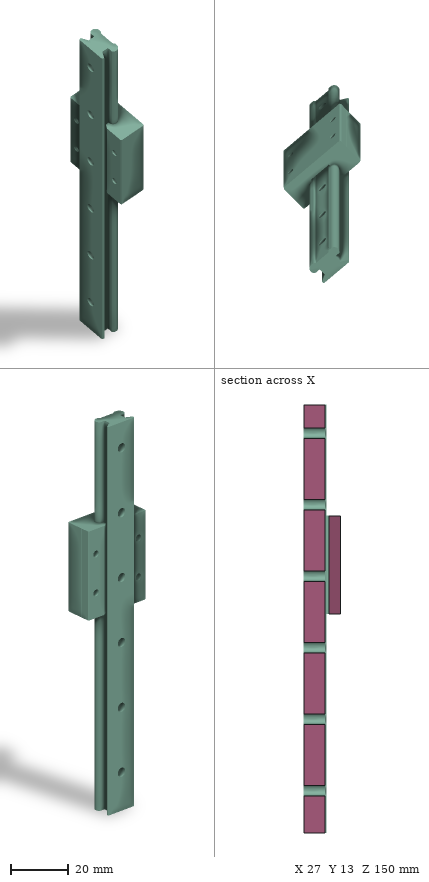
import cadquery as cq

rail_length = 150.0
overall_depth = 13.0
rail_front = -overall_depth / 2
base_half_width = 6.2
base_lip = 0.9
base_chamfer = 0.3
neck_half_width = 3.6
neck_bottom = -4.4
head_radius = 1.8
head_y = -0.2
bead_centre_x = 4.6
head_underside = -1.6
head_back = head_y + head_radius
relief_half_width = 3.6
relief_depth = 0.6
rail_hole_diameter = 3.5
rail_hole_count = 6
rail_hole_pitch = 25.0
rail_hole_top = 65.1

carriage_width = 27.0
carriage_depth = 10.8
carriage_length = 34.4
carriage_z = 18.9
carriage_back = overall_depth / 2
carriage_front = carriage_back - carriage_depth
back_chamfer_x = 0.3
back_chamfer_y = 0.6
front_chamfer_x = 0.5
front_chamfer_y = 0.3
mouth_half_width = 4.4
mouth_flare_half_width = 6.2
mouth_flare_start = -3.3
mount_hole_diameter = 2.5
mount_hole_spacing_x = 20.0
mount_hole_spacing_z = 15.0

groove_width = 0.2
groove_depth = 0.2
side_groove_ys = (3.2, -0.5)
front_groove_x = -mount_hole_spacing_x / 2

liner_thickness = 0.68
channel_radius = head_radius + liner_thickness


def extrude_centred(sketch, length, z_centre):
    """Extrude a closed XY outline along Z about a middle height."""
    return sketch.extrude(length).translate((0, 0, z_centre - length / 2))


def stadium(radius, length, z_centre):
    """Bar with round ends centred on the two beads of the rail head."""
    outline = cq.Workplane("XY").center(0, head_y).slot2D(2 * (bead_centre_x + radius), 2 * radius)
    return extrude_centred(outline, length, z_centre)


def box(x_min, x_max, y_min, y_max, length, z_centre):
    """Box given by its X and Y limits and its length along Z."""
    outline = (
        cq.Workplane("XY")
        .center((x_min + x_max) / 2, (y_min + y_max) / 2)
        .rect(x_max - x_min, y_max - y_min)
    )
    return extrude_centred(outline, length, z_centre)


def holes_along_y(points, diameter):
    """Cylinders along Y, long enough to pass through any body."""
    return (
        cq.Workplane("XZ", origin=(0, overall_depth, 0))
        .pushPoints(points)
        .circle(diameter / 2)
        .extrude(2 * overall_depth)
    )


def make_rail():
    """Rail with a flared base, a neck and a round-edged head."""
    right_side = [
        (base_half_width - base_chamfer, rail_front),
        (base_half_width, rail_front + base_chamfer),
        (base_half_width, rail_front + base_lip),
        (neck_half_width, neck_bottom),
        (neck_half_width, 0),
    ]
    left_side = [(-x, y) for x, y in reversed(right_side)]
    foot = cq.Workplane("XY").polyline(right_side + left_side).close()
    foot_bar = extrude_centred(foot, rail_length, 0)

    head_half_width = bead_centre_x + head_radius
    head_limits = box(-head_half_width, head_half_width, head_underside, head_back, rail_length, 0)
    head = stadium(head_radius, rail_length, 0).intersect(head_limits)
    rail = foot_bar.union(head)

    relief_floor = relief_half_width - relief_depth
    relief = (
        cq.Workplane("XY")
        .moveTo(-relief_half_width, head_back)
        .lineTo(-relief_floor, head_back - relief_depth)
        .lineTo(relief_floor, head_back - relief_depth)
        .lineTo(relief_half_width, head_back)
        .close()
    )
    rail = rail.cut(extrude_centred(relief, rail_length, 0))

    hole_points = [(0, rail_hole_top - i * rail_hole_pitch) for i in range(rail_hole_count)]
    return rail.cut(holes_along_y(hole_points, rail_hole_diameter))


def groove_cutter(x, y, across_x, across_y):
    """Diamond bar that leaves a V-groove where it meets a face."""
    outline = cq.Workplane("XY").polyline(
        [(x - across_x, y), (x, y - across_y), (x + across_x, y), (x, y + across_y)]
    ).close()
    return extrude_centred(outline, carriage_length, carriage_z)


def make_carriage():
    """Block with a round-ended channel that opens to the front."""
    half_width = carriage_width / 2
    right_side = [
        (half_width - front_chamfer_x, carriage_front),
        (half_width, carriage_front + front_chamfer_y),
        (half_width, carriage_back - back_chamfer_y),
        (half_width - back_chamfer_x, carriage_back),
    ]
    left_side = [(-x, y) for x, y in reversed(right_side)]
    outline = cq.Workplane("XY").polyline(right_side + left_side).close()
    block = extrude_centred(outline, carriage_length, carriage_z)

    mouth = (
        cq.Workplane("XY")
        .moveTo(-mouth_half_width, 0)
        .lineTo(-mouth_half_width, mouth_flare_start)
        .lineTo(-mouth_flare_half_width, carriage_front)
        .lineTo(mouth_flare_half_width, carriage_front)
        .lineTo(mouth_half_width, mouth_flare_start)
        .lineTo(mouth_half_width, 0)
        .close()
    )
    block = block.cut(stadium(channel_radius, carriage_length, carriage_z))
    block = block.cut(extrude_centred(mouth, carriage_length, carriage_z))

    for y in side_groove_ys:
        block = block.cut(groove_cutter(-half_width, y, groove_depth, groove_width / 2))
    block = block.cut(groove_cutter(front_groove_x, carriage_front, groove_width / 2, groove_depth))

    hole_points = [
        (i * mount_hole_spacing_x / 2, carriage_z + j * mount_hole_spacing_z / 2)
        for i in (-1, 1)
        for j in (-1, 1)
    ]
    return block.cut(holes_along_y(hole_points, mount_hole_diameter))


def make_liner(side):
    """C-shaped liner that fills the gap around one edge of the rail head."""
    shell = stadium(channel_radius, carriage_length, carriage_z)
    shell = shell.cut(stadium(head_radius, carriage_length, carriage_z))
    outer_x = bead_centre_x + channel_radius
    x_min, x_max = sorted((side * mouth_half_width, side * outer_x))
    y_min = head_y - channel_radius
    y_max = head_y + channel_radius
    keep = box(x_min, x_max, y_min, y_max, carriage_length, carriage_z)
    return shell.intersect(keep)


rail = make_rail()
carriage = make_carriage()
liners = [make_liner(side) for side in (-1, 1)]

result = cq.Compound.makeCompound([rail.val(), carriage.val(), *[liner.val() for liner in liners]])